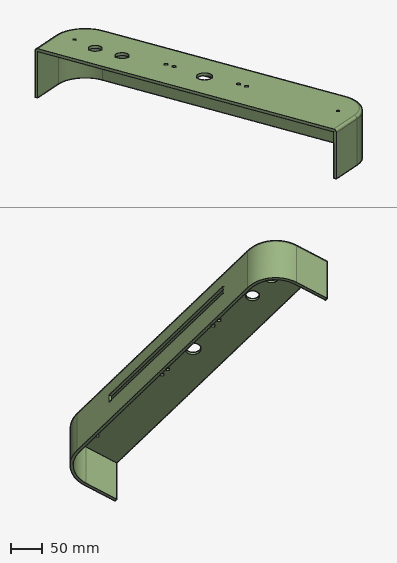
import cadquery as cq

length = 560.0
depth = 115.0
height = 85.0
wall = 5.0
corner_radius = 55.0
edge_radius = wall

slot_length = 300.0
slot_height = 15.0
slot_bottom = 40.0
slot_center_x = -10.0

mount_diameter = 5.0
mount_x = 245.0
screw_diameter = 6.0
screw_inner_x = 60.0
screw_spacing = 15.0
screw_row_y = 60.0
port_diameter = 22.0
port_xs = (-200.0, -150.0)
port_y = 50.0
center_diameter = 25.0
center_y = 55.0


def rounded_block(width, block_depth, block_height, radius):
    """Block with its front face at Y = 0 and its two back corners rounded."""
    block = cq.Workplane("XY").box(width, block_depth, block_height, centered=(True, False, False))
    return block.edges("|Z and >Y").fillet(radius)


def cut_holes(body, diameter, centers):
    """Drill holes of one diameter down through the top plate."""
    drills = (
        cq.Workplane("XY")
        .workplane(offset=height)
        .pushPoints(centers)
        .circle(diameter / 2)
        .extrude(-height)
    )
    return body.cut(drills)


outer = rounded_block(length, depth, height, corner_radius)
outer = outer.faces(">Z").edges("not <Y").fillet(edge_radius)
cavity = rounded_block(length - 2 * wall, depth - wall, height - wall, corner_radius - wall)
result = outer.cut(cavity)

slot = (
    cq.Workplane("XY")
    .box(slot_length, 2 * wall, slot_height, centered=(True, True, False))
    .translate((slot_center_x, depth - wall / 2, slot_bottom))
)
result = result.cut(slot)

screw_outer_x = screw_inner_x + screw_spacing
mount_centers = [(side * mount_x, screw_row_y) for side in (-1, 1)]
screw_centers = [(side * x, screw_row_y) for side in (-1, 1) for x in (screw_inner_x, screw_outer_x)]
result = cut_holes(result, mount_diameter, mount_centers)
result = cut_holes(result, screw_diameter, screw_centers)

result = cut_holes(result, port_diameter, [(x, port_y) for x in port_xs])
result = cut_holes(result, center_diameter, [(0, center_y)])